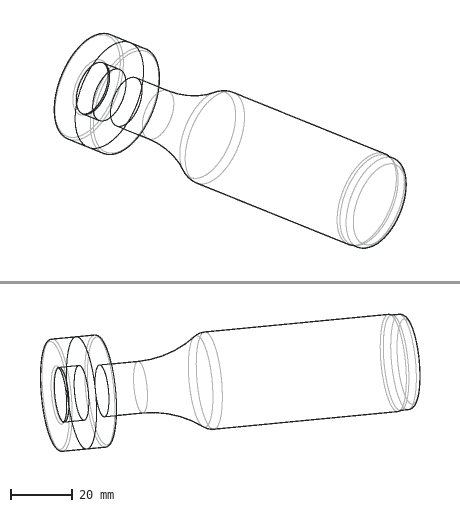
import cadquery as cq
import math

TOTAL_LENGTH = 120.0
HEAD_RADIUS = 37.0 / 2
HEAD_LENGTH = 16.0
HEAD_EDGE_FILLET = 0.7

RING_LENGTH = 9.0
BORE_RADIUS = 9.0
BORE_EDGE_FILLET = 0.7
DISH_RADIUS = HEAD_RADIUS - HEAD_EDGE_FILLET
DISH_DEPTH = 1.5

BOSS_STEP = 0.8
BOSS_FACE_X = DISH_DEPTH + BOSS_STEP

NECK_RADIUS = 17.0 / 2
FLARE_START_X = 29.0
FLARE_ARC_RADIUS = 35.0
SHOULDER_ARC_RADIUS = 5.0
HANDLE_RADIUS = 32.0 / 2

END_RADIUS = 31.5 / 2
END_TAPER_LENGTH = 1.0
END_LENGTH = 5.2
END_FILLET = 1.7


def revolve_about_x(profile):
    """Revolve a closed (X, radius) profile about the X axis."""
    return profile.close().revolve(360, (0, 0, 0), (1, 0, 0))


def make_ring():
    """Front ring of the head, with a conical dish around its bore."""
    fillet = HEAD_EDGE_FILLET
    mid_offset = fillet * (1 - math.sqrt(0.5))
    profile = (
        cq.Workplane("XY")
        .moveTo(DISH_DEPTH, BORE_RADIUS)
        .lineTo(0, DISH_RADIUS)
        .threePointArc((mid_offset, HEAD_RADIUS - mid_offset), (fillet, HEAD_RADIUS))
        .lineTo(RING_LENGTH, HEAD_RADIUS)
        .lineTo(RING_LENGTH, BORE_RADIUS)
    )
    ring_body = revolve_about_x(profile)
    bore_edge = ring_body.faces("%CONE").edges(cq.selectors.RadiusNthSelector(0))
    return bore_edge.fillet(BORE_EDGE_FILLET)


def make_boss_and_flange():
    """Boss filling the ring bore and the flange behind the ring."""
    boss = cq.Workplane("YZ", origin=(BOSS_FACE_X, 0, 0)).circle(BORE_RADIUS)
    boss = boss.extrude(HEAD_LENGTH - BOSS_FACE_X)
    flange = cq.Workplane("YZ", origin=(RING_LENGTH, 0, 0)).circle(HEAD_RADIUS)
    flange = flange.extrude(HEAD_LENGTH - RING_LENGTH).edges(">X").fillet(HEAD_EDGE_FILLET)
    return boss.union(flange)


def make_neck_and_handle():
    """Neck, flared shoulder and cylindrical handle as one revolved profile."""
    flare_center_radius = NECK_RADIUS + FLARE_ARC_RADIUS
    shoulder_center_radius = HANDLE_RADIUS - SHOULDER_ARC_RADIUS
    radial_gap = flare_center_radius - shoulder_center_radius
    flare_angle = math.acos(radial_gap / (FLARE_ARC_RADIUS + SHOULDER_ARC_RADIUS))
    shoulder_end_x = FLARE_START_X + radial_gap * math.tan(flare_angle)

    def flare_point(angle):
        return (
            FLARE_START_X + FLARE_ARC_RADIUS * math.sin(angle),
            flare_center_radius - FLARE_ARC_RADIUS * math.cos(angle),
        )

    shoulder_middle = (
        shoulder_end_x - SHOULDER_ARC_RADIUS * math.sin(flare_angle / 2),
        shoulder_center_radius + SHOULDER_ARC_RADIUS * math.cos(flare_angle / 2),
    )
    end_start_x = TOTAL_LENGTH - END_LENGTH
    profile = (
        cq.Workplane("XY")
        .moveTo(HEAD_LENGTH, 0)
        .lineTo(HEAD_LENGTH, NECK_RADIUS)
        .lineTo(FLARE_START_X, NECK_RADIUS)
        .threePointArc(flare_point(flare_angle / 2), flare_point(flare_angle))
        .threePointArc(shoulder_middle, (shoulder_end_x, HANDLE_RADIUS))
        .lineTo(end_start_x, HANDLE_RADIUS)
        .lineTo(end_start_x + END_TAPER_LENGTH, END_RADIUS)
        .lineTo(TOTAL_LENGTH, END_RADIUS)
        .lineTo(TOTAL_LENGTH, 0)
    )
    return revolve_about_x(profile).faces(">X").edges().fillet(END_FILLET)


ring = make_ring()
stud = make_boss_and_flange().union(make_neck_and_handle())

result = cq.Compound.makeCompound([ring.val(), *stud.vals()])